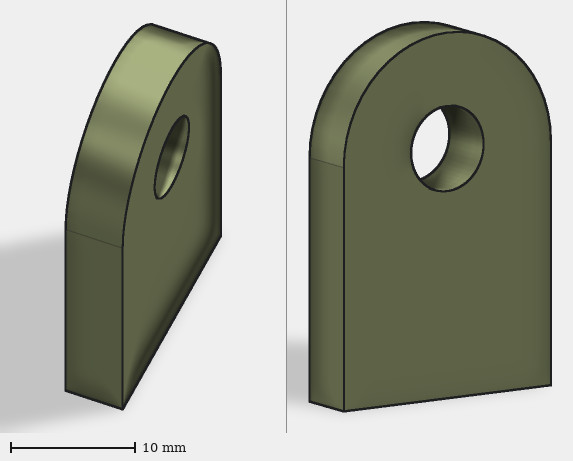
import cadquery as cq

height = 30.0
width = 20.0
thickness = 5.0
hole_diameter = 7.0
hole_height = 20.5

half_width = width / 2
shoulder_height = height - half_width


def lug_plate():
    """Upright plate with a rounded top, extruded along X from the YZ plane."""
    return (
        cq.Workplane("YZ")
        .moveTo(-half_width, 0)
        .lineTo(half_width, 0)
        .lineTo(half_width, shoulder_height)
        .threePointArc((0, height), (-half_width, shoulder_height))
        .close()
        .extrude(thickness)
    )


def pin_hole():
    """Cylinder that cuts the pin hole through the full thickness."""
    return (
        cq.Workplane("YZ")
        .center(0, hole_height)
        .circle(hole_diameter / 2)
        .extrude(thickness)
    )


result = lug_plate().cut(pin_hole())